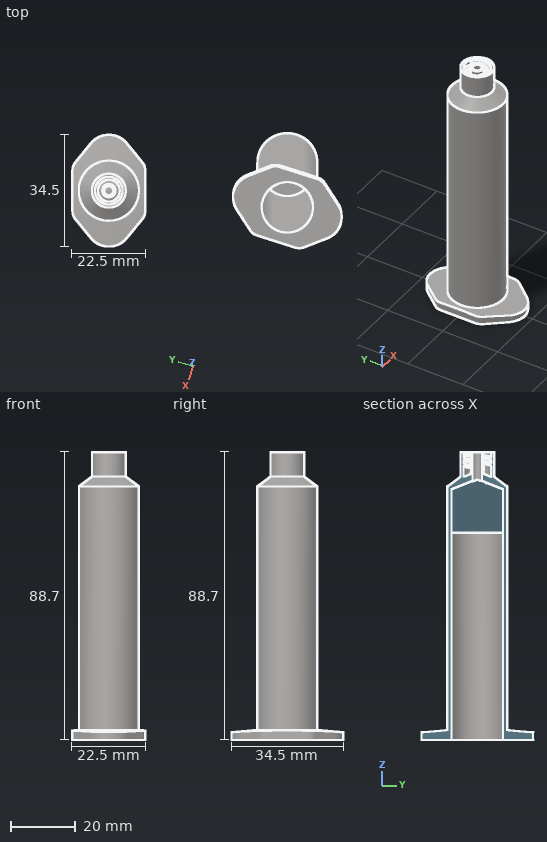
import cadquery as cq
import math

total_height = 88.7

flange_width = 22.5
flange_length = 34.5
flange_tip_radius = 7.1
flange_corner_radius = 4.1
flange_edge_angle = 39.4
flange_rim_height = 2.5
flange_root_height = 3.2

barrel_radius = 18.5 / 2
barrel_bore_radius = 15.8 / 2
shoulder_bottom = 78.15
shoulder_top = 81.2

collar_radius = 10.5 / 2
collar_bore_radius = 8.5 / 2
collar_floor_height = 81.2

cone_slope = 0.4

nozzle_recess = 0.2
nozzle_tip_radius = 1.95
nozzle_root_radius = 2.0
nozzle_bore_radius = 1.4
nozzle_top = total_height - nozzle_recess

thread_starts = 2
thread_lead = 3.55
thread_turns = 1.25
thread_crest_radius = 3.4
thread_root_width = 1.15
thread_crest_width = 0.35
thread_embed = 0.3
thread_start_angle = 62.0

piston_skirt_length = 13.3
piston_shoulder = 77.2
piston_apex = piston_shoulder + cone_slope * barrel_bore_radius


def revolve_profile(points):
    """Revolve a closed (radius, height) profile about the Z axis."""
    return cq.Workplane("XZ").polyline(points).close().revolve(360, (0, 0), (0, 1))


def make_flange():
    half_width = flange_width / 2
    half_length = flange_length / 2
    edge_angle = math.radians(flange_edge_angle)
    apex_y = half_length - flange_tip_radius + flange_tip_radius / math.sin(edge_angle)
    corner_y = apex_y - half_width / math.tan(edge_angle)
    outline = [
        (0, apex_y),
        (half_width, corner_y),
        (half_width, -corner_y),
        (0, -apex_y),
        (-half_width, -corner_y),
        (-half_width, corner_y),
    ]
    plate = cq.Workplane("XY").polyline(outline).close().extrude(flange_root_height)
    plate = plate.edges("|Z").edges("<Y or >Y").fillet(flange_tip_radius)
    corner_picker = cq.selectors.BoxSelector(
        (-flange_width, -half_width, 0), (flange_width, half_width, flange_root_height))
    plate = plate.edges("|Z").edges(corner_picker).edges("<X or >X").fillet(flange_corner_radius)

    slope = (flange_root_height - flange_rim_height) / (half_length - barrel_radius)
    outer_radius = flange_length
    outer_height = flange_rim_height - slope * (outer_radius - half_length)
    conical_top = revolve_profile([
        (0, 0),
        (outer_radius, 0),
        (outer_radius, outer_height),
        (barrel_radius, flange_root_height),
        (0, flange_root_height),
    ])
    return plate.intersect(conical_top)


def make_thread(start_angle):
    """One right-hand ridge on the collar bore, its upper end flush with the rim."""
    height = thread_lead * thread_turns
    root_radius = collar_bore_radius + thread_embed
    helix = cq.Wire.makeHelix(thread_lead, height, collar_bore_radius)
    ridge = (
        cq.Workplane("XZ")
        .polyline([
            (root_radius, -thread_root_width / 2),
            (root_radius, thread_root_width / 2),
            (thread_crest_radius, thread_crest_width / 2),
            (thread_crest_radius, -thread_crest_width / 2),
        ])
        .close()
        .sweep(cq.Workplane(obj=helix), isFrenet=True)
    )
    bottom = total_height - thread_root_width / 2 - height
    lower_angle = start_angle - 360 * thread_turns
    return ridge.rotate((0, 0, 0), (0, 0, 1), lower_angle).translate((0, 0, bottom))


def make_barrel():
    floor_rise = cone_slope * (collar_bore_radius - nozzle_root_radius)
    shell = revolve_profile([
        (0, 0),
        (barrel_radius, 0),
        (barrel_radius, shoulder_bottom),
        (collar_radius, shoulder_top),
        (collar_radius, total_height),
        (collar_bore_radius, total_height),
        (collar_bore_radius, collar_floor_height),
        (nozzle_root_radius, collar_floor_height + floor_rise),
        (nozzle_tip_radius, nozzle_top),
        (0, nozzle_top),
    ])
    barrel_bore = revolve_profile([
        (0, 0),
        (barrel_bore_radius, 0),
        (barrel_bore_radius, piston_shoulder),
        (0, piston_apex),
    ])
    nozzle_bore = (
        cq.Workplane("XY").workplane(offset=piston_shoulder)
        .circle(nozzle_bore_radius).extrude(total_height - piston_shoulder)
    )
    barrel = shell.union(make_flange()).cut(barrel_bore).cut(nozzle_bore)
    for start in range(thread_starts):
        barrel = barrel.union(make_thread(thread_start_angle + start * 360 / thread_starts))
    return barrel


def make_piston():
    """Cone-nosed piston seated against the inside of the shoulder."""
    piston_bottom = piston_shoulder - piston_skirt_length
    return revolve_profile([
        (0, piston_bottom),
        (barrel_bore_radius, piston_bottom),
        (barrel_bore_radius, piston_shoulder),
        (0, piston_apex),
    ])


barrel = make_barrel()
piston = make_piston()

result = cq.Compound.makeCompound([barrel.val(), piston.val()])